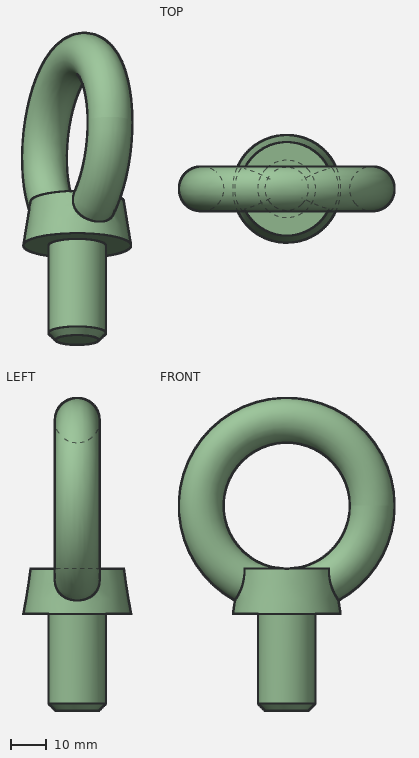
import cadquery as cq

total_height = 87.0
ring_outer_diameter = 60.0
ring_inner_diameter = 35.0
collar_base_diameter = 30.0
collar_top_diameter = 26.0
shank_diameter = 16.0
tip_chamfer = 2.0

bar_diameter = (ring_outer_diameter - ring_inner_diameter) / 2
ring_center_radius = (ring_outer_diameter - bar_diameter) / 2
shank_length = total_height - ring_outer_diameter
collar_height = bar_diameter
ring_center_z = shank_length + ring_outer_diameter / 2


def make_ring():
    """Round bar bent into an upright ring about the Y direction."""
    return (
        cq.Workplane("XY", origin=(0, 0, ring_center_z))
        .center(ring_center_radius, 0)
        .circle(bar_diameter / 2)
        .revolve(360, (-ring_center_radius, 0), (-ring_center_radius, 1))
    )


def make_stem():
    """Chamfered shank and tapered collar, turned about the Z axis."""
    shank_radius = shank_diameter / 2
    collar_top_z = shank_length + collar_height
    return (
        cq.Workplane("XZ")
        .moveTo(0, 0)
        .lineTo(shank_radius - tip_chamfer, 0)
        .lineTo(shank_radius, tip_chamfer)
        .lineTo(shank_radius, shank_length)
        .lineTo(collar_base_diameter / 2, shank_length)
        .lineTo(collar_top_diameter / 2, collar_top_z)
        .lineTo(0, collar_top_z)
        .close()
        .revolve(360, (0, 0), (0, 1))
    )


result = make_stem().union(make_ring())